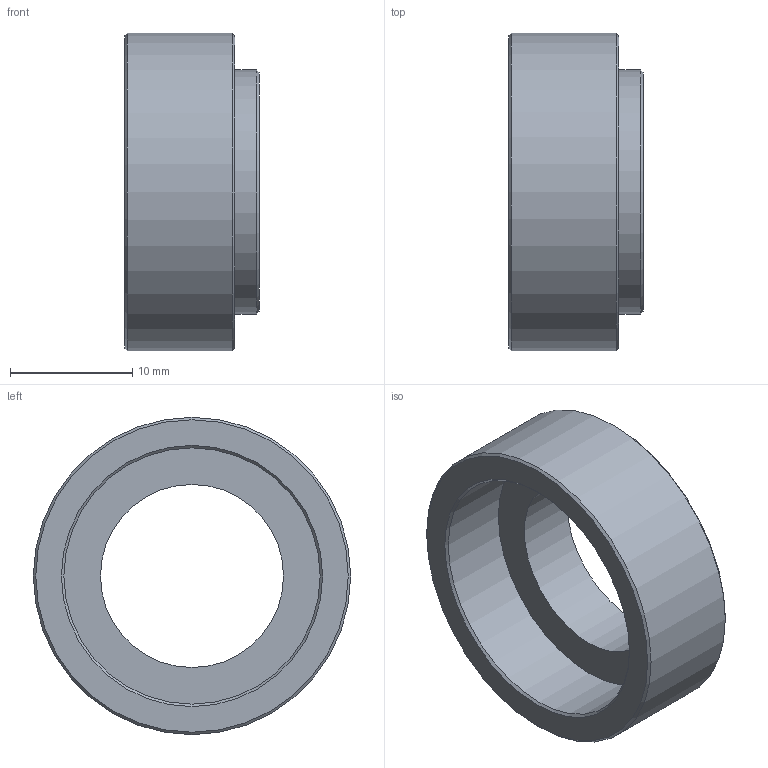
import cadquery as cq

body_diameter = 26.0
body_length = 9.0
spigot_diameter = 20.0
spigot_length = 2.0
bore_diameter = 15.0
seat_diameter = 21.0
seat_depth = 6.0
edge_chamfer = 0.2

total_length = body_length + spigot_length


def cylinder_along_x(diameter, start, length):
    """Solid cylinder on the X axis, running from x = start towards +X."""
    return cq.Workplane("YZ", origin=(start, 0, 0)).circle(diameter / 2).extrude(length)


def make_body():
    """Main ring, chamfered on both outer edges."""
    return cylinder_along_x(body_diameter, 0, body_length).edges().chamfer(edge_chamfer)


def make_spigot():
    """Reduced shoulder at the +X end, chamfered on its free edge."""
    spigot = cylinder_along_x(spigot_diameter, body_length, spigot_length)
    return spigot.faces(">X").edges().chamfer(edge_chamfer)


def cut_seat(ring):
    """Counterbore open at the -X face, with a chamfer around its mouth."""
    ring = ring.cut(cylinder_along_x(seat_diameter, 0, seat_depth))
    mouth_edge = ring.faces("<X").edges(cq.selectors.RadiusNthSelector(0))
    return mouth_edge.chamfer(edge_chamfer)


def cut_bore(ring):
    """Plain bore through the whole length."""
    return ring.cut(cylinder_along_x(bore_diameter, 0, total_length))


result = cut_bore(cut_seat(make_body().union(make_spigot())))